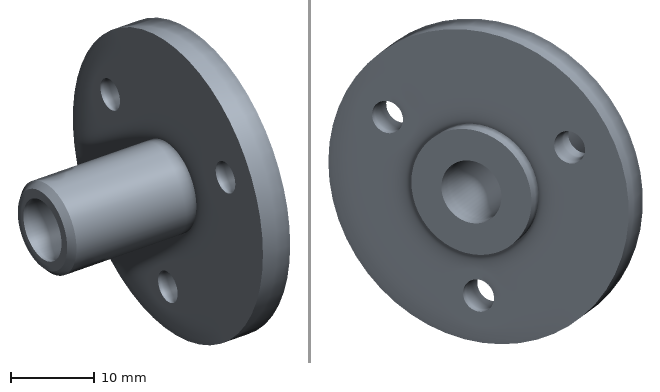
import cadquery as cq

flange_diameter = 40.0
flange_thickness = 4.0

tube_diameter = 12.0
tube_length = 18.4
tube_chamfer = 0.8
boss_diameter = 16.0
boss_height = 2.0
bore_diameter = 8.0

bolt_hole_diameter = 4.1
bolt_circle_radius = 14.0
bolt_count = 3
first_bolt_angle = -90.0

boss_end = flange_thickness + boss_height
total_length = tube_length + boss_end


def cylinder_along_y(diameter, start, length):
    """Solid cylinder on the Y axis, running from start towards +Y."""
    plane = cq.Workplane("XZ", origin=(0, start, 0))
    return plane.circle(diameter / 2).extrude(-length)


flange = cylinder_along_y(flange_diameter, 0, flange_thickness)
boss = cylinder_along_y(boss_diameter, flange_thickness, boss_height)
tube = cylinder_along_y(tube_diameter, -tube_length, tube_length)
tube = tube.faces("<Y").chamfer(tube_chamfer)

bore = cylinder_along_y(bore_diameter, -tube_length, total_length)
bolt_holes = (
    cq.Workplane("XZ")
    .polarArray(bolt_circle_radius, first_bolt_angle, 360, bolt_count)
    .circle(bolt_hole_diameter / 2)
    .extrude(-flange_thickness)
)

result = flange.union(boss).union(tube).cut(bore).cut(bolt_holes)